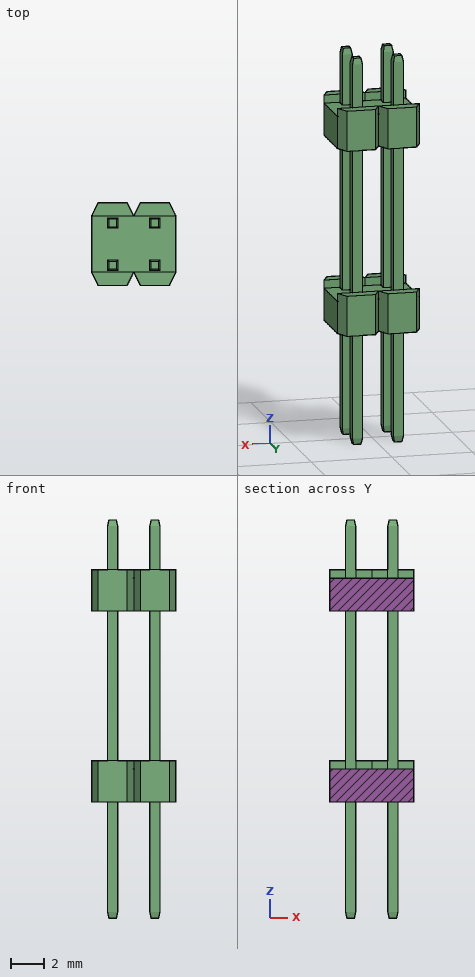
import cadquery as cq

PITCH = 2.55
PINS_PER_ROW = 2
OVERALL_LENGTH = 24.0
CENTRE_Z = OVERALL_LENGTH / 2

PIN_WIDTH = 0.62
TIP_WIDTH = 0.45
TIP_LENGTH = 0.38

BLOCK_DEPTH = 5.0
BLOCK_HEIGHT = 2.5
CORE_DEPTH = 3.38
RAIL_FACE_WIDTH = 1.75
RECESS_DEPTH = 0.5
LOWER_BLOCK_Z = 7.0
BLOCK_SPACING = 11.5

BLOCK_WIDTH = PITCH * PINS_PER_ROW
COLUMN_XS = [(i - (PINS_PER_ROW - 1) / 2) * PITCH for i in range(PINS_PER_ROW)]
ROW_YS = [-PITCH / 2, PITCH / 2]


def make_cell(x):
    """One pitch of a block: an octagon whose four bevels leave V grooves between cells."""
    half_core = CORE_DEPTH / 2
    half_depth = BLOCK_DEPTH / 2
    half_face = RAIL_FACE_WIDTH / 2
    half_pitch = PITCH / 2
    outline = [
        (-half_pitch, -half_core),
        (-half_face, -half_depth),
        (half_face, -half_depth),
        (half_pitch, -half_core),
        (half_pitch, half_core),
        (half_face, half_depth),
        (-half_face, half_depth),
        (-half_pitch, half_core),
    ]
    return cq.Workplane("XY").center(x, 0).polyline(outline).close().extrude(BLOCK_HEIGHT)


def make_block():
    """Row of cells with the top lowered between the two side rails; underside at Z = 0."""
    block = cq.Workplane("XY")
    for x in COLUMN_XS:
        block = block.union(make_cell(x))
    recess = (
        cq.Workplane("XY")
        .workplane(offset=BLOCK_HEIGHT - RECESS_DEPTH)
        .rect(BLOCK_WIDTH, CORE_DEPTH)
        .extrude(RECESS_DEPTH)
    )
    return block.cut(recess)


def make_pin():
    """Full-length square pin, centred on Z = 0, tapered at both ends."""
    shank_length = OVERALL_LENGTH - 2 * TIP_LENGTH
    shank = cq.Workplane("XY").box(PIN_WIDTH, PIN_WIDTH, shank_length)
    tip = (
        cq.Workplane("XY")
        .workplane(offset=shank_length / 2)
        .rect(PIN_WIDTH, PIN_WIDTH)
        .workplane(offset=TIP_LENGTH)
        .rect(TIP_WIDTH, TIP_WIDTH)
        .loft(ruled=True)
    )
    return shank.union(tip).union(tip.mirror("XY"))


lower_block_z = LOWER_BLOCK_Z - CENTRE_Z
block = make_block()
result = block.translate((0, 0, lower_block_z))
result = result.union(block.translate((0, 0, lower_block_z + BLOCK_SPACING)))

pin = make_pin()
for x in COLUMN_XS:
    for y in ROW_YS:
        result = result.union(pin.translate((x, y, 0)))